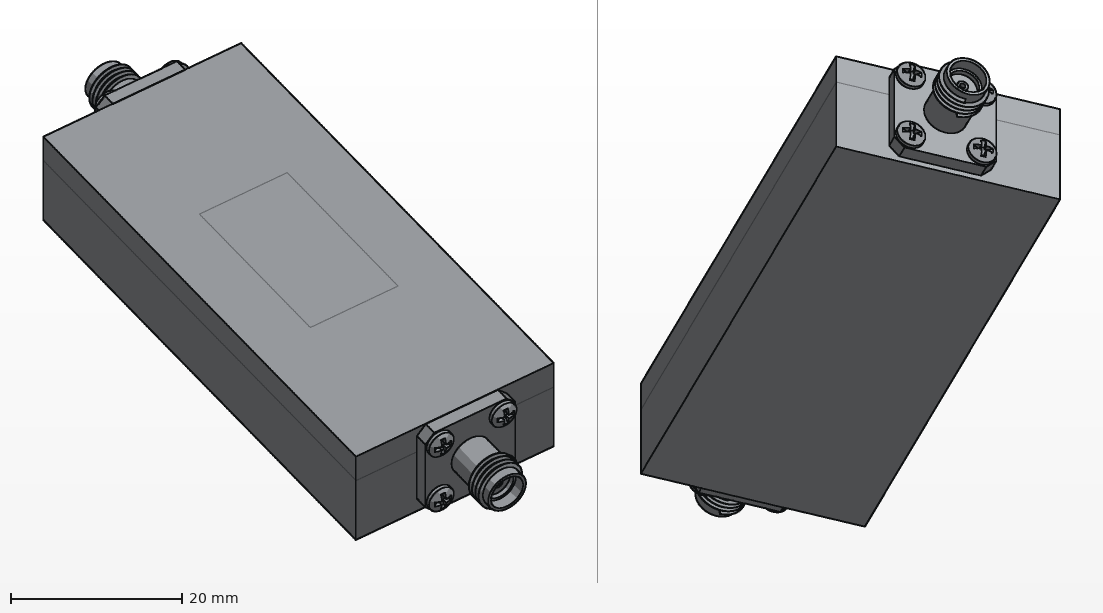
import cadquery as cq

total_length = 83.7
housing_length = 64.9
housing_width = 27.95
housing_height = 13.55
lid_height = 3.85
label_length = 23.0
label_width = 12.4
label_depth = 0.4

flange_size = 12.7
flange_thickness = 1.75
flange_chamfer = 1.25
connector_y = 1.0
connector_z = 7.1

barrel_length = (total_length - housing_length) / 2 - flange_thickness
barrel_radius = 2.7
mouth_radius = 2.3
mouth_depth = 1.5
bore_radius = 1.9
bore_depth = 2.2
pin_radius = 0.7
pin_height = 0.3
pin_hole_radius = 0.3
pin_hole_depth = 1.25

thread_radius = 3.2
thread_pitch = 0.7
thread_tip_gap = 1.1
thread_turns = 4
ridge_root_width = 0.4
ridge_crest_width = 0.1
ridge_overlap = 0.2

screw_spacing = 8.9
screw_radius = 1.75
screw_rim_height = 0.5
screw_top_height = 1.1
cross_length = 3.0
cross_floor_length = 1.2
cross_width = 0.6
cross_depth = 0.75


def make_housing():
    """Base, lid and flush label panel, keeping the joint lines between them."""
    base_height = housing_height - lid_height
    base = cq.Workplane("XY").box(
        housing_length, housing_width, base_height, centered=(True, True, False)
    )
    lid = (
        cq.Workplane("XY", origin=(0, 0, base_height))
        .box(housing_length, housing_width, lid_height, centered=(True, True, False))
    )
    label = (
        cq.Workplane("XY", origin=(0, 0, housing_height - label_depth))
        .box(label_length, label_width, label_depth, centered=(True, True, False))
    )
    return base.union(lid, clean=False).union(label, clean=False)


def make_thread():
    """Ridge with a trapezoidal section swept along a helix about Z."""
    length = thread_turns * thread_pitch
    inner_radius = barrel_radius - ridge_overlap
    start = barrel_length - thread_tip_gap - length
    path = cq.Wire.makeHelix(thread_pitch, length, inner_radius)
    ridge = (
        cq.Workplane("XZ")
        .polyline([
            (inner_radius, -ridge_root_width / 2),
            (thread_radius, -ridge_crest_width / 2),
            (thread_radius, ridge_crest_width / 2),
            (inner_radius, ridge_root_width / 2),
        ])
        .close()
        .sweep(cq.Workplane(path), isFrenet=True)
    )
    return ridge.translate((0, 0, start))


def make_barrel():
    """Hollow threaded barrel along Z with a stepped bore and a hollow centre pin."""
    tip = cq.Workplane("XY", origin=(0, 0, barrel_length))
    barrel = cq.Workplane("XY").circle(barrel_radius).extrude(barrel_length)
    barrel = barrel.union(make_thread())
    barrel = barrel.cut(tip.circle(mouth_radius).extrude(-mouth_depth))
    barrel = barrel.cut(tip.circle(bore_radius).extrude(-bore_depth))
    bore_floor = barrel_length - bore_depth
    pin = cq.Workplane("XY", origin=(0, 0, bore_floor)).circle(pin_radius).extrude(pin_height)
    pin_end = cq.Workplane("XY", origin=(0, 0, bore_floor + pin_height))
    pin_hole = pin_end.circle(pin_hole_radius).extrude(-pin_hole_depth)
    return barrel.union(pin).cut(pin_hole)


def make_screw():
    """Domed screw head along Z with a cross recess whose arms slope up to the rim."""
    dome_rise = screw_top_height - screw_rim_height
    dome_radius = (screw_radius**2 + dome_rise**2) / (2 * dome_rise)
    dome = cq.Workplane("XY", origin=(0, 0, screw_top_height - dome_radius)).sphere(dome_radius)
    head = cq.Workplane("XY").circle(screw_radius).extrude(screw_top_height).intersect(dome)
    cross_floor = screw_top_height - cross_depth
    slot = (
        cq.Workplane("XZ")
        .polyline([
            (-cross_length / 2, screw_top_height),
            (-cross_floor_length / 2, cross_floor),
            (cross_floor_length / 2, cross_floor),
            (cross_length / 2, screw_top_height),
        ])
        .close()
        .extrude(cross_width / 2, both=True)
    )
    return head.cut(slot).cut(slot.rotate((0, 0, 0), (0, 0, 1), 90))


def make_connector():
    """Flange on Z = 0 facing +Z, with barrel and four screws."""
    connector = (
        cq.Workplane("XY")
        .rect(flange_size, flange_size)
        .extrude(-flange_thickness)
        .edges("|Z")
        .chamfer(flange_chamfer)
    )
    connector = connector.union(make_barrel())
    screw = make_screw()
    for x in (-screw_spacing / 2, screw_spacing / 2):
        for y in (-screw_spacing / 2, screw_spacing / 2):
            connector = connector.union(screw.translate((x, y, 0)))
    return connector


def place_connector(connector, turn_angle):
    """Point the connector along +X at the housing end, then turn it about Z."""
    return (
        connector.rotate((0, 0, 0), (0, 1, 0), 90)
        .translate((housing_length / 2 + flange_thickness, 0, connector_z))
        .rotate((0, 0, 0), (0, 0, 1), turn_angle)
        .translate((0, connector_y, 0))
    )


result = make_housing()
end_connector = make_connector()
for turn_angle in (0, 180):
    result = result.union(place_connector(end_connector, turn_angle), clean=False)
result = result.solids()